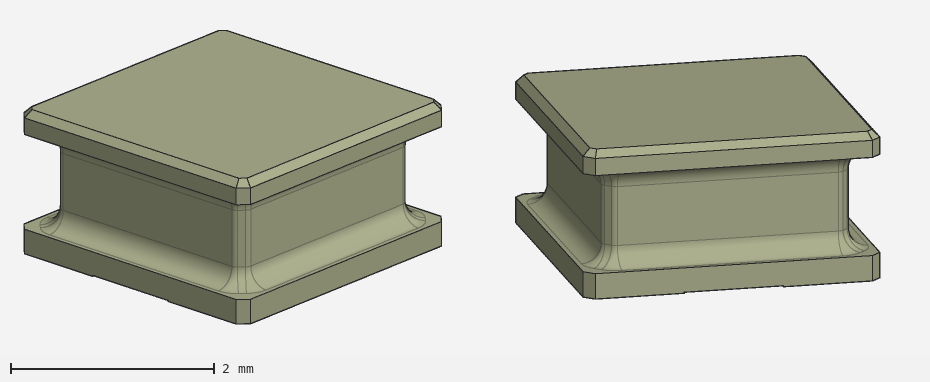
import cadquery as cq

side = 3.0
body_height = 1.5
pad_thickness = 0.01
total_height = body_height + pad_thickness

flange_thickness = 0.25
flange_corner_chamfer = 0.1
top_edge_chamfer = 0.075

core_side = 2.495
core_corner_chamfer = 0.1
core_corner_radius = 0.075
root_radius = 0.2

pad_gap = 1.0

lower_flange_top = pad_thickness + flange_thickness
upper_flange_bottom = total_height - flange_thickness


def chamfered_square(width, corner_chamfer, bottom, top):
    """Square block between two levels, with its vertical edges chamfered."""
    block = cq.Workplane("XY").workplane(offset=bottom).rect(width, width).extrude(top - bottom)
    return block.edges("|Z").chamfer(corner_chamfer)


def make_core():
    core = chamfered_square(core_side, core_corner_chamfer, lower_flange_top, upper_flange_bottom)
    return core.edges("|Z").fillet(core_corner_radius)


def make_upper_flange():
    flange = chamfered_square(side, flange_corner_chamfer, upper_flange_bottom, total_height)
    return flange.faces(">Z").edges().chamfer(top_edge_chamfer)


def make_lower_flange():
    return chamfered_square(side, flange_corner_chamfer, 0, lower_flange_top)


def round_core_roots(spool):
    """Fillet the closed edge loops where the core meets each flange.

    The selection box reaches midway between the core faces and the flange rim.
    """
    reach = (core_side + side) / 4
    margin = root_radius / 2
    root_edges = cq.selectors.BoxSelector(
        (-reach, -reach, lower_flange_top - margin),
        (reach, reach, upper_flange_bottom + margin),
        boundingbox=True,
    )
    return spool.edges(root_edges).edges("#Z").fillet(root_radius)


def cut_pad_gap(spool):
    """Shallow groove along Y that splits the underside into two pads."""
    groove = cq.Workplane("XY").rect(pad_gap, side).extrude(pad_thickness)
    return spool.cut(groove)


spool = make_lower_flange().union(make_core()).union(make_upper_flange())
spool = round_core_roots(spool)
result = cut_pad_gap(spool)